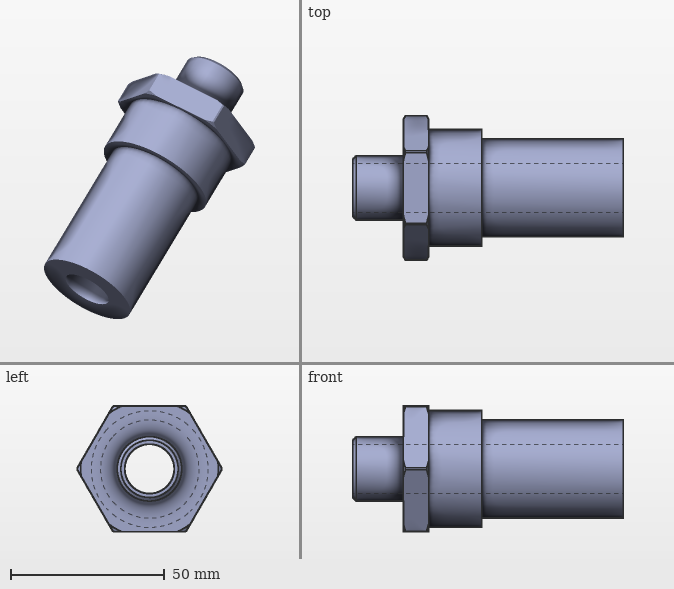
import cadquery as cq
import math

total_length = 88.0
spigot_length = 16.5
hex_thickness = 8.2
collar_length = 17.3
hex_end = spigot_length + hex_thickness
collar_end = hex_end + collar_length

spigot_diameter = 20.955
collar_diameter = 38.0
tube_diameter = 32.0
bore_diameter = 16.0
hex_sides = 6
hex_across_flats = 41.0
hex_corner_diameter = 47.0
hex_face_diameter = 44.7

spigot_chamfer = 1.16
hex_chamfer_angle = 30.0


def cylinder(start, end, diameter):
    """Round bar along X between two stations."""
    return cq.Workplane("YZ", origin=(start, 0, 0)).circle(diameter / 2).extrude(end - start)


def spigot():
    """Small end with a chamfered tip."""
    return cylinder(0, spigot_length, spigot_diameter).faces("<X").chamfer(spigot_chamfer)


def hex_flange():
    """Hexagon with flats facing +Z and -Z and its corners turned down at both faces."""
    corner_to_corner = hex_across_flats / math.cos(math.pi / hex_sides)
    prism = (
        cq.Workplane("YZ", origin=(spigot_length, 0, 0))
        .polygon(hex_sides, corner_to_corner)
        .extrude(hex_thickness)
    )
    radial_drop = (hex_corner_diameter - hex_face_diameter) / 2
    axial_drop = radial_drop * math.tan(math.radians(hex_chamfer_angle))
    turned_disc = (
        cylinder(spigot_length, hex_end, hex_corner_diameter)
        .faces("<X")
        .chamfer(axial_drop, radial_drop)
        .faces(">X")
        .chamfer(axial_drop, radial_drop)
    )
    return prism.intersect(turned_disc)


collar = cylinder(hex_end, collar_end, collar_diameter)
tube = cylinder(collar_end, total_length, tube_diameter)
bore = cylinder(0, total_length, bore_diameter)

result = spigot().union(hex_flange()).union(collar).union(tube).cut(bore)